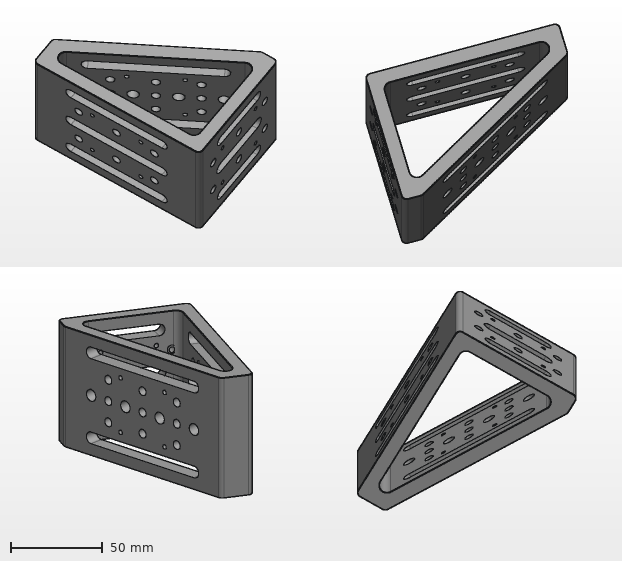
import cadquery as cq
import math

length = 110.0
width = 76.0
height = 71.0

slope_angle = 30.0
left_face_width = 18.9
wall = 8.1
slope_wall = 8.4
outer_radius = 3.0
inner_radius = 4.1
edge_chamfer = 0.4

grid = 25.0
hole_diameter = 5.1
side_hole_depth = 7.6
drill_point_angle = 118.0
pin_spacing = 32.0
pin_diameter = 2.5
slot_width = 6.8
wide_slot_width = 8.0
large_hole_diameter = slot_width

front_slot_spacing = 60.1
side_slot_spacing = 35.0
slope_slot_spacing = 3 * grid

slope_tan = math.tan(math.radians(slope_angle))
slope_cos = math.cos(math.radians(slope_angle))
slope_sin = math.sin(math.radians(slope_angle))
slope_run = (width - left_face_width) / slope_tan
cut_depth = slope_wall + inner_radius


def inner_slope_y(x):
    """Y of the inner face of the sloped wall at the given X."""
    return left_face_width + x * slope_tan - slope_wall / slope_cos


def make_frame():
    """Rounded triangular tube with chamfered rims."""
    outer = (
        cq.Workplane("XY")
        .polyline([(0, 0), (length, 0), (length, width), (slope_run, width), (0, left_face_width)])
        .close()
        .extrude(height)
        .edges("|Z")
        .fillet(outer_radius)
    )
    inner_right = length - wall
    inner_left = (wall - inner_slope_y(0)) / slope_tan
    opening = (
        cq.Workplane("XY")
        .polyline([(inner_left, wall), (inner_right, wall), (inner_right, inner_slope_y(inner_right))])
        .close()
        .extrude(height)
        .edges("|Z")
        .fillet(inner_radius)
    )
    return outer.cut(opening).faces("<Z or >Z").edges().chamfer(edge_chamfer)


def wall_plane(center_x, center_y, along, outward):
    """Workplane on the middle of an outer wall face; local X runs along the wall and local Y is up."""
    return cq.Workplane(
        cq.Plane(origin=(center_x, center_y, height / 2), xDir=(*along, 0), normal=(*outward, 0))
    )


def cut_slots(body, face, center_spacing, slot_width, rows):
    slots = face.pushPoints([(0, z) for z in rows]).slot2D(center_spacing + slot_width, slot_width)
    return body.cut(slots.extrude(-cut_depth))


def cut_round_holes(body, face, points, diameter):
    return body.cut(face.pushPoints(points).circle(diameter / 2).extrude(-cut_depth))


def cut_drilled_holes(body, face, points):
    """Holes that end in a drill cone."""
    radius = hole_diameter / 2
    cone_length = radius / math.tan(math.radians(drill_point_angle / 2))
    into_wall = -face.plane.zDir
    for point in points:
        start = face.plane.toWorldCoords(point)
        hole = cq.Solid.makeCylinder(radius, side_hole_depth, start, into_wall)
        cone = cq.Solid.makeCone(radius, 0, cone_length, start + into_wall * side_hole_depth, into_wall)
        body = body.cut(cq.Workplane(hole)).cut(cq.Workplane(cone))
    return body


front_face = wall_plane(length / 2, 0, (1, 0), (0, -1))
side_face = wall_plane(length, width / 2, (0, 1), (1, 0))
slope_face = wall_plane(
    slope_run / 2,
    (left_face_width + width) / 2,
    (-slope_cos, -slope_sin),
    (-slope_sin, slope_cos),
)

result = make_frame()

hole_points = [(i * grid, j * grid / 2) for i in (-1, 0, 1) for j in (-1, 1)]
pin_points = [(i * pin_spacing / 2, j * pin_spacing / 2) for i in (-1, 1) for j in (-1, 1)]

result = cut_slots(result, front_face, front_slot_spacing, slot_width, (-grid, 0, grid))
result = cut_round_holes(result, front_face, hole_points, hole_diameter)
result = cut_round_holes(result, front_face, pin_points, pin_diameter)

result = cut_slots(result, side_face, side_slot_spacing, slot_width, (-grid, grid))
result = cut_slots(result, side_face, side_slot_spacing, wide_slot_width, (0,))
result = cut_drilled_holes(result, side_face, hole_points)
result = cut_round_holes(result, side_face, pin_points, pin_diameter)

result = cut_slots(result, slope_face, slope_slot_spacing, slot_width, (-grid, grid))
result = cut_round_holes(result, slope_face, hole_points, hole_diameter)
result = cut_round_holes(result, slope_face, pin_points, pin_diameter)
large_holes = [(i * grid, 0) for i in (-1.5, -0.5, 0.5, 1.5)]
middle_row_holes = [(i * grid, 0) for i in (-1, 0, 1)]
result = cut_round_holes(result, slope_face, large_holes, large_hole_diameter)
result = cut_round_holes(result, slope_face, middle_row_holes, hole_diameter)